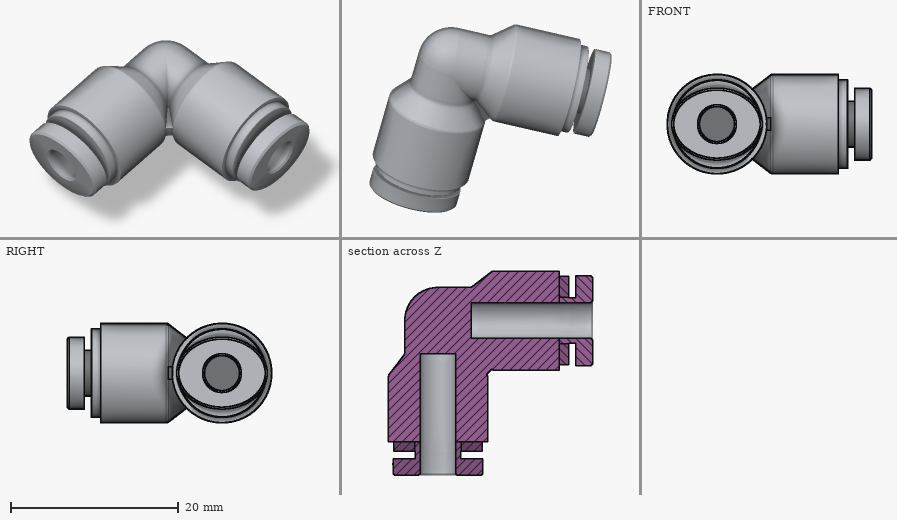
import cadquery as cq
import math

ARM_DIAMETER = 11.9
ELBOW_DIAMETER = 8.0
OVERALL_LENGTH = 24.45

CONE_START = 3.99
CONE_END = 6.53
CONE_BLEND_RADIUS = 0.5
ARM_END = 14.5

WEB_THICKNESS = 1.52
WEB_REACH = 12.27

COLLAR_DIAMETER = 10.6
COLLAR_END = 15.65
COLLAR_CHAMFER = 0.07

NECK_DIAMETER = 5.5
FLANGE_START = 16.45
FLANGE_WIDTH = 10.8
FLANGE_HEIGHT = 8.6
FLANGE_CHAMFER = 0.25

ENTRY_BORE_DIAMETER = 4.2
ENTRY_BORE_END = 15.72
BORE_MOUTH_CHAMFER = 0.22
TUBE_SOCKET_DIAMETER = 4.18
TUBE_STOP = CONE_START

ARM_RADIUS = ARM_DIAMETER / 2
ELBOW_RADIUS = ELBOW_DIAMETER / 2
SLEEVE_END = OVERALL_LENGTH - ARM_RADIUS

ARM_PLANES = [
    cq.Plane(origin=(0, 0, 0), xDir=(0, 1, 0), normal=(1, 0, 0)),
    cq.Plane(origin=(0, 0, 0), xDir=(1, 0, 0), normal=(0, -1, 0)),
]


def place_on_arm(body, plane):
    """Move a body modelled along +Z so that it lies along an arm."""
    return cq.Workplane(obj=body.val().moved(plane.location))


def cylinder(diameter, start, end):
    return cq.Workplane().workplane(offset=start).circle(diameter / 2).extrude(end - start)


def make_arm():
    """Solid of revolution: elbow pipe, blended cone and large barrel."""
    cone_angle = math.atan2(ARM_RADIUS - ELBOW_RADIUS, CONE_END - CONE_START)
    tangent = CONE_BLEND_RADIUS * math.tan(cone_angle / 2)
    axial = tangent * math.cos(cone_angle)
    radial = tangent * math.sin(cone_angle)
    middle_radial = CONE_BLEND_RADIUS * (1 - math.cos(cone_angle / 2))
    middle_axial = CONE_BLEND_RADIUS * math.sin(cone_angle / 2)
    profile = (
        cq.Workplane("XZ")
        .lineTo(ELBOW_RADIUS, 0)
        .lineTo(ELBOW_RADIUS, CONE_START - tangent)
        .threePointArc(
            (ELBOW_RADIUS + middle_radial, CONE_START - tangent + middle_axial),
            (ELBOW_RADIUS + radial, CONE_START + axial),
        )
        .lineTo(ARM_RADIUS - radial, CONE_END - axial)
        .threePointArc(
            (ARM_RADIUS - middle_radial, CONE_END + tangent - middle_axial),
            (ARM_RADIUS, CONE_END + tangent),
        )
        .lineTo(ARM_RADIUS, ARM_END)
        .lineTo(0, ARM_END)
        .close()
    )
    return profile.revolve(360, (0, 0, 0), (0, 1, 0))


def make_web():
    """Flat web across the inner corner, its outer face at 45 degrees to both arms."""
    inner = ELBOW_RADIUS
    outer = WEB_REACH - ELBOW_RADIUS
    return (
        cq.Workplane()
        .polyline([(inner, -inner), (outer, -inner), (inner, -outer)])
        .close()
        .extrude(WEB_THICKNESS / 2, both=True)
    )


def make_housing():
    """Elbow housing with a blind tube socket in each arm."""
    housing = cq.Workplane().sphere(ELBOW_RADIUS)
    for plane in ARM_PLANES:
        housing = housing.union(place_on_arm(make_arm(), plane))
    housing = housing.union(make_web())
    socket = cylinder(TUBE_SOCKET_DIAMETER, TUBE_STOP, ARM_END)
    for plane in ARM_PLANES:
        housing = housing.cut(place_on_arm(socket, plane))
    return housing


def make_collar():
    """Ring seated on the arm end, with the sleeve neck passing through it."""
    ring = cylinder(COLLAR_DIAMETER, ARM_END, COLLAR_END).faces(">Z").chamfer(COLLAR_CHAMFER)
    return ring.cut(cylinder(NECK_DIAMETER, ARM_END, COLLAR_END))


def make_release_sleeve():
    """Round neck with an oval push flange and a slightly stepped through bore."""
    neck = cylinder(NECK_DIAMETER, ARM_END, FLANGE_START)
    flange = (
        cq.Workplane()
        .workplane(offset=FLANGE_START)
        .ellipse(FLANGE_WIDTH / 2, FLANGE_HEIGHT / 2)
        .extrude(SLEEVE_END - FLANGE_START)
        .faces(">Z")
        .chamfer(FLANGE_CHAMFER)
    )
    tube_bore = cylinder(TUBE_SOCKET_DIAMETER, ARM_END, ENTRY_BORE_END)
    entry_bore = cylinder(ENTRY_BORE_DIAMETER, ENTRY_BORE_END, SLEEVE_END)
    sleeve = neck.union(flange).cut(tube_bore).cut(entry_bore)
    return sleeve.faces(">Z").edges("%CIRCLE").chamfer(BORE_MOUTH_CHAMFER)


housing = make_housing()
collars = [place_on_arm(make_collar(), plane) for plane in ARM_PLANES]
release_sleeves = [place_on_arm(make_release_sleeve(), plane) for plane in ARM_PLANES]

bodies = [housing, *collars, *release_sleeves]
result = cq.Compound.makeCompound([body.val() for body in bodies])